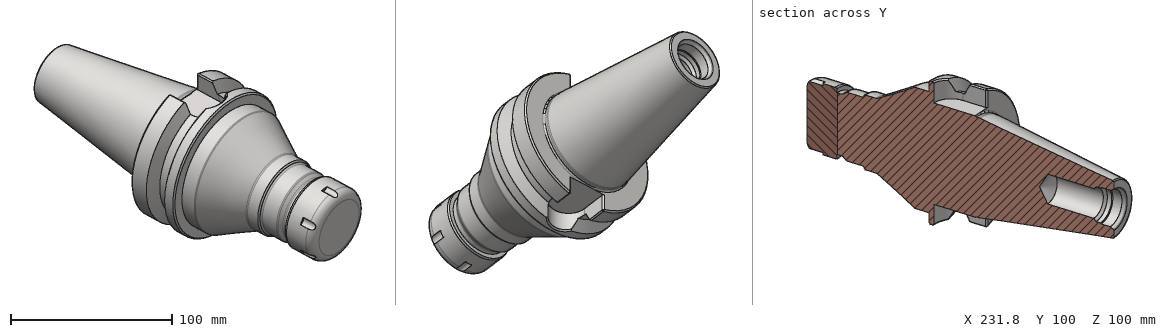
import cadquery as cq
import math


shank_length = 101.8
gauge_radius = 69.85 / 2
taper_slope = 7 / 48
shank_end_chamfer = 0.8
taper_end_x = -0.2
taper_end_blend = 8.0
shank_root_fillet = 1.0

flange_radius = 50.0
flange_start_x = 3.0
flange_end_x = 38.0
groove_start_x = 15.5
groove_end_x = 30.4
groove_radius = 42.35
groove_flank_angle = 60.0
flange_edge_chamfer = 1.0

slot_width = 25.7
slot_floor_z = 35.4
slot_end_x = 34.0
slot_edge_chamfer = 1.0

shoulder_radius = groove_radius
shoulder_end_x = 48.4
shoulder_blend = 1.5
collar_radius = 26.2
collar_start_x = 77.2
collar_end_x = 87.0
collar_chamfer = 1.0
collar_blend = 2.0
neck_radius = 24.1
neck_end_x = 100.0
neck_root_fillet = 1.0
throat_radius = 21.6
throat_start_x = 103.2
throat_blend = 1.5

nut_start_x = 107.0
nut_end_x = 130.0
nut_radius = 25.0
nut_back_chamfer_length = 1.4
nut_back_chamfer_depth = 0.5
nut_front_fillet = 5.8
nut_slot_count = 6
nut_slot_start_x = 118.0
nut_slot_radius = 3.0
nut_slot_axis_radius = 26.45

bore_mouth_radius = 14.3
bore_mouth_chamfer = 0.5
counterbore_radius = 12.5
counterbore_depth = 9.6
mouth_countersink_angle = 30.0
step_radius = 12.0
step_length = 3.8
bore_radius = 10.2
bore_depth = 50.0
drill_tip_angle = 118.0


def revolve_about_x(points):
    return cq.Workplane("XY").polyline(points).close().revolve(360, (0, 0, 0), (1, 0, 0))


def circles_at(body, x, radius):
    """Circular edges around the X axis at one station."""
    tolerance = 0.01

    def matches(edge):
        if edge.geomType() != "CIRCLE":
            return False
        box = edge.BoundingBox()
        return abs(box.center.x - x) < tolerance and abs(edge.radius() - radius) < tolerance

    return body.newObject([edge for edge in body.edges().vals() if matches(edge)])


def taper_radius(x):
    return gauge_radius + taper_slope * x


def make_holder_blank():
    shank_radius = taper_radius(taper_end_x)
    flank_run = (flange_radius - groove_radius) / math.tan(math.radians(groove_flank_angle))
    chamfered_x = -shank_length + shank_end_chamfer
    blank = revolve_about_x([
        (-shank_length, 0),
        (-shank_length, taper_radius(chamfered_x) - shank_end_chamfer),
        (chamfered_x, taper_radius(chamfered_x)),
        (taper_end_x, shank_radius),
        (flange_start_x, shank_radius),
        (flange_start_x, flange_radius),
        (groove_start_x, flange_radius),
        (groove_start_x + flank_run, groove_radius),
        (groove_end_x - flank_run, groove_radius),
        (groove_end_x, flange_radius),
        (flange_end_x, flange_radius),
        (flange_end_x, shoulder_radius),
        (shoulder_end_x, shoulder_radius),
        (collar_start_x, collar_radius),
        (collar_end_x, collar_radius),
        (collar_end_x, neck_radius),
        (neck_end_x, neck_radius),
        (throat_start_x, throat_radius),
        (nut_start_x, throat_radius),
        (nut_start_x, 0),
    ])
    blank = circles_at(blank, taper_end_x, shank_radius).fillet(taper_end_blend)
    blank = circles_at(blank, flange_start_x, shank_radius).fillet(shank_root_fillet)
    blank = circles_at(blank, flange_end_x, flange_radius).chamfer(flange_edge_chamfer)
    blank = circles_at(blank, shoulder_end_x, shoulder_radius).fillet(shoulder_blend)
    blank = circles_at(blank, collar_start_x, collar_radius).fillet(collar_blend)
    blank = circles_at(blank, collar_end_x, collar_radius).chamfer(collar_chamfer)
    blank = circles_at(blank, collar_end_x, neck_radius).fillet(neck_root_fillet)
    blank = circles_at(blank, neck_end_x, neck_radius).fillet(throat_blend)
    return circles_at(blank, throat_start_x, throat_radius).fillet(throat_blend)


def cut_drive_slots(body):
    straight_end_x = slot_end_x - slot_width / 2
    height = flange_radius - slot_floor_z
    for floor_z, direction in ((slot_floor_z, 1), (-slot_floor_z, -1)):
        cutter = (
            cq.Workplane("XY", origin=(0, 0, floor_z))
            .moveTo(0, -slot_width / 2)
            .lineTo(straight_end_x, -slot_width / 2)
            .threePointArc((slot_end_x, 0), (straight_end_x, slot_width / 2))
            .lineTo(0, slot_width / 2)
            .close()
            .extrude(direction * height)
        )
        body = body.cut(cutter)
    return body


def chamfer_slot_edges(body):
    """Chamfers the disc face rim and mouth corners, and the slot rims on the flange outside."""
    tolerance = 0.01

    def on_slot_rim(edge):
        middle = edge.positionAt(0.5)
        in_slot = abs(middle.y) < slot_width / 2 + tolerance
        outside = abs(math.hypot(middle.y, middle.z) - flange_radius) < tolerance
        before_groove = middle.x < groove_start_x - tolerance
        return in_slot and outside and (before_groove or middle.x > groove_end_x)

    def on_disc_face(edge):
        middle = edge.positionAt(0.5)
        if abs(middle.x - flange_start_x) > tolerance:
            return False
        box = edge.BoundingBox()
        mouth_corner = box.ylen < tolerance and abs(abs(middle.y) - slot_width / 2) < tolerance
        rim = abs(math.hypot(middle.y, middle.z) - flange_radius) < tolerance
        return mouth_corner or rim

    picked = [e for e in body.edges().vals() if on_slot_rim(e) or on_disc_face(e)]
    return body.newObject(picked).chamfer(slot_edge_chamfer)


def make_pull_stud_bore():
    half_tip = math.radians(drill_tip_angle / 2)
    start_x = -shank_length
    countersink_radius = bore_mouth_radius - bore_mouth_chamfer
    countersink_start_x = start_x + bore_mouth_chamfer
    countersink_angle = math.radians(mouth_countersink_angle)
    countersink_depth = (countersink_radius - counterbore_radius) / math.tan(countersink_angle)
    step_x = start_x + counterbore_depth
    step_end_x = step_x + step_length
    bottom_x = start_x + bore_depth
    return revolve_about_x([
        (start_x, 0),
        (start_x, bore_mouth_radius),
        (countersink_start_x, countersink_radius),
        (countersink_start_x + countersink_depth, counterbore_radius),
        (step_x, counterbore_radius),
        (step_x + counterbore_radius - step_radius, step_radius),
        (step_end_x, step_radius),
        (step_end_x + step_radius - bore_radius, bore_radius),
        (bottom_x, bore_radius),
        (bottom_x + bore_radius / math.tan(half_tip), 0),
    ])


def make_holder():
    body = cut_drive_slots(make_holder_blank())
    body = chamfer_slot_edges(body)
    return body.cut(make_pull_stud_bore())


def make_nut():
    nut = revolve_about_x([
        (nut_start_x, 0),
        (nut_start_x, nut_radius - nut_back_chamfer_depth),
        (nut_start_x + nut_back_chamfer_length, nut_radius),
        (nut_end_x, nut_radius),
        (nut_end_x, 0),
    ])
    nut = circles_at(nut, nut_end_x, nut_radius).fillet(nut_front_fillet)
    for i in range(nut_slot_count):
        trough = (
            cq.Workplane("YZ", origin=(nut_slot_start_x, 0, nut_slot_axis_radius))
            .circle(nut_slot_radius)
            .extrude(nut_end_x - nut_slot_start_x)
            .rotate((0, 0, 0), (1, 0, 0), i * 360 / nut_slot_count)
        )
        nut = nut.cut(trough)
    return nut


holder = make_holder()
nut = make_nut()
result = cq.Compound.makeCompound([holder.val(), nut.val()])